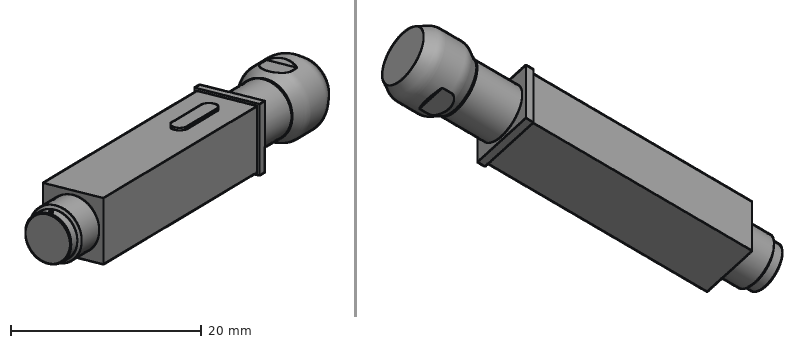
import cadquery as cq
import math

TOTAL_LENGTH = 48.9
NOSE_TIP_LENGTH = 1.25
BODY_START = 4.9
SEAM_Y = 9.95
FLANGE_START = 34.55
FLANGE_THICKNESS = 1.05
HEAD_START = 41.65

NOSE_RADIUS = 3.3
NOSE_TIP_RADIUS = 2.9
NOSE_SHOULDER_LENGTH = 0.25
NOSE_TIP_CHAMFER = 0.1
DIMPLE_RADIUS = 0.2
DIMPLE_DEPTH = 0.2

BODY_WIDTH = 7.6
FLANGE_WIDTH = 8.15
CAP_TAB_WIDTH = 3.15
CAP_TAB_LENGTH = 1.1
CAP_TAB_DEPTH = 0.5

PAD_START = 24.45
PAD_LENGTH = 7.65
PAD_WIDTH = 1.95
PAD_HEIGHT = 0.3

NECK_RADIUS = 3.45
HEAD_RADIUS = 4.45
HEAD_LIP_LENGTH = 0.15
HEAD_BLEND_RADIUS = 2.0
HEAD_TAPER_LENGTH = 1.15
HEAD_TAPER_ANGLE = math.radians(30)

FLAT_HEIGHT = 4.0
FLAT_END = 45.15


def square_bar(width, start, length):
    """Square bar centred on the Y axis."""
    return cq.Workplane("XY").box(width, length, width).translate((0, start + length / 2, 0))


def revolve_about_y(profile):
    return profile.close().revolve(360, (0, 0, 0), (0, 1, 0))


def make_nose():
    profile = (
        cq.Workplane("XY")
        .lineTo(NOSE_TIP_RADIUS - NOSE_TIP_CHAMFER, 0)
        .lineTo(NOSE_TIP_RADIUS, NOSE_TIP_CHAMFER)
        .lineTo(NOSE_TIP_RADIUS, NOSE_TIP_LENGTH)
        .lineTo(NOSE_RADIUS, NOSE_TIP_LENGTH + NOSE_SHOULDER_LENGTH)
        .lineTo(NOSE_RADIUS, BODY_START)
        .lineTo(0, BODY_START)
    )
    dimple = (
        cq.Workplane("XY", origin=(0, NOSE_TIP_LENGTH / 2, NOSE_TIP_RADIUS - DIMPLE_DEPTH))
        .circle(DIMPLE_RADIUS)
        .extrude(2 * DIMPLE_DEPTH)
    )
    return revolve_about_y(profile).cut(dimple)


def make_cap():
    """End block of the body, with a flush tab reaching past the seam on top."""
    block = square_bar(BODY_WIDTH, BODY_START, SEAM_Y - BODY_START)
    tab = cq.Workplane("XY").box(CAP_TAB_WIDTH, CAP_TAB_LENGTH, CAP_TAB_DEPTH).translate(
        (0, SEAM_Y + CAP_TAB_LENGTH / 2, (BODY_WIDTH - CAP_TAB_DEPTH) / 2)
    )
    return block.union(tab)


def make_pad():
    return (
        cq.Workplane("XY", origin=(0, PAD_START + PAD_LENGTH / 2, BODY_WIDTH / 2))
        .slot2D(PAD_LENGTH, PAD_WIDTH, 90)
        .extrude(PAD_HEIGHT)
    )


def make_neck():
    start = FLANGE_START + FLANGE_THICKNESS
    return cq.Workplane("XZ", origin=(0, start, 0)).circle(NECK_RADIUS).extrude(start - HEAD_START)


def make_head():
    """Cylinder that rounds into an equal cone at both ends, with a narrow lip against the neck."""
    blend_length = HEAD_BLEND_RADIUS * math.sin(HEAD_TAPER_ANGLE)
    blend_radius = HEAD_RADIUS - HEAD_BLEND_RADIUS * (1 - math.cos(HEAD_TAPER_ANGLE))
    end_radius = blend_radius - HEAD_TAPER_LENGTH * math.tan(HEAD_TAPER_ANGLE)
    mid_angle = HEAD_TAPER_ANGLE / 2
    mid_rise = HEAD_BLEND_RADIUS * math.sin(mid_angle)
    mid_radius = HEAD_RADIUS - HEAD_BLEND_RADIUS * (1 - math.cos(mid_angle))

    lower_cone_start = HEAD_START + HEAD_LIP_LENGTH
    lower_cone_end = lower_cone_start + HEAD_TAPER_LENGTH
    lower_blend_end = lower_cone_end + blend_length
    upper_cone_start = TOTAL_LENGTH - HEAD_TAPER_LENGTH
    upper_blend_start = upper_cone_start - blend_length
    profile = (
        cq.Workplane("XY")
        .moveTo(0, HEAD_START)
        .lineTo(end_radius, HEAD_START)
        .lineTo(end_radius, lower_cone_start)
        .lineTo(blend_radius, lower_cone_end)
        .threePointArc((mid_radius, lower_blend_end - mid_rise), (HEAD_RADIUS, lower_blend_end))
        .lineTo(HEAD_RADIUS, upper_blend_start)
        .threePointArc((mid_radius, upper_blend_start + mid_rise), (blend_radius, upper_cone_start))
        .lineTo(end_radius, TOTAL_LENGTH)
        .lineTo(0, TOTAL_LENGTH)
    )
    head = revolve_about_y(profile)
    flat_cut = make_flat_cut()
    return head.cut(flat_cut).cut(flat_cut.mirror("XY"))


def make_flat_cut():
    """Material above the top flat, ending in a 45 degree run-out."""
    cut_height = HEAD_RADIUS - FLAT_HEIGHT
    return (
        cq.Workplane("YZ")
        .moveTo(HEAD_START, FLAT_HEIGHT)
        .lineTo(FLAT_END, FLAT_HEIGHT)
        .lineTo(FLAT_END + cut_height, HEAD_RADIUS)
        .lineTo(HEAD_START, HEAD_RADIUS)
        .close()
        .extrude(HEAD_RADIUS, both=True)
    )


cap = make_cap()
main_body = square_bar(BODY_WIDTH, SEAM_Y, FLANGE_START - SEAM_Y).cut(cap)
flange = square_bar(FLANGE_WIDTH, FLANGE_START, FLANGE_THICKNESS)

result = main_body
for piece in (cap, make_nose(), make_pad(), flange, make_neck(), make_head()):
    result = result.union(piece, clean=False)